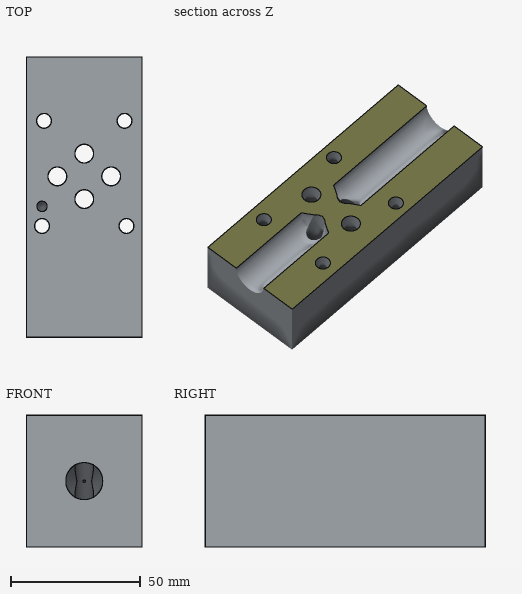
import cadquery as cq
import math

BLOCK_X = 44.5
BLOCK_Y = 108.0
BLOCK_Z = 50.8
TOP_Z = BLOCK_Z / 2
FRONT_Y = -BLOCK_Y / 2

BOLT_DIAMETER = 5.6
REAR_BOLT_Y = 29.4
BOLT_ROW_SPACING = 40.5
FRONT_BOLT_Y = REAR_BOLT_Y - BOLT_ROW_SPACING
REAR_BOLT_SPACING = 31.0
FRONT_BOLT_SPACING = 32.5

PASSAGE_DIAMETER = 7.1
DIAMOND_CENTRE_Y = 8.0
DIAMOND_HALF_X = 10.4
DIAMOND_HALF_Y = 8.7
FRONT_PASSAGE_Y = DIAMOND_CENTRE_Y - DIAMOND_HALF_Y
REAR_PASSAGE_Y = DIAMOND_CENTRE_Y + DIAMOND_HALF_Y

PIN_DIAMETER = 4.0
PIN_DEPTH = 4.3
PIN_X = -FRONT_BOLT_SPACING / 2
PIN_Y = -3.6

PORT_DIAMETER = 14.2
TIP_OVERRUN = 0.27
DRILL_TIP_ANGLE = 118.0


def tip_length(diameter):
    """Height of the conical drill tip."""
    return diameter / 2 / math.tan(math.radians(DRILL_TIP_ANGLE / 2))


def drill(diameter, full_depth):
    """Blind hole along -Z from the origin: a cylinder of full_depth, then a conical tip."""
    radius = diameter / 2
    apex_depth = full_depth + tip_length(diameter)
    profile = [(0, 0), (radius, 0), (radius, -full_depth), (0, -apex_depth)]
    return cq.Workplane("XZ").polyline(profile).close().revolve(360, (0, 0), (0, 1))


def through_holes(points, diameter):
    """Vertical cylinders through the full block height."""
    bottom = cq.Workplane("XY", origin=(0, 0, -TOP_Z))
    return bottom.pushPoints(points).circle(diameter / 2).extrude(BLOCK_Z)


def front_port(passage_y):
    """Port drilled from the -Y face, its tip ending just past the passage at passage_y."""
    apex_y = passage_y + PASSAGE_DIAMETER / 2 + TIP_OVERRUN
    full_depth = apex_y - FRONT_Y - tip_length(PORT_DIAMETER)
    along_y = drill(PORT_DIAMETER, full_depth).rotate((0, 0, 0), (1, 0, 0), 90)
    return along_y.translate((0, FRONT_Y, 0))


bolt_points = [
    (side * spacing / 2, y)
    for spacing, y in ((REAR_BOLT_SPACING, REAR_BOLT_Y), (FRONT_BOLT_SPACING, FRONT_BOLT_Y))
    for side in (-1, 1)
]
passage_points = [
    (-DIAMOND_HALF_X, DIAMOND_CENTRE_Y),
    (DIAMOND_HALF_X, DIAMOND_CENTRE_Y),
    (0, FRONT_PASSAGE_Y),
    (0, REAR_PASSAGE_Y),
]

pin_hole = drill(PIN_DIAMETER, PIN_DEPTH).translate((PIN_X, PIN_Y, TOP_Z))

rear_port = front_port(-REAR_PASSAGE_Y).mirror("XZ")

result = (
    cq.Workplane("XY")
    .box(BLOCK_X, BLOCK_Y, BLOCK_Z)
    .cut(through_holes(bolt_points, BOLT_DIAMETER))
    .cut(through_holes(passage_points, PASSAGE_DIAMETER))
    .cut(pin_hole)
    .cut(front_port(FRONT_PASSAGE_Y))
    .cut(rear_port)
)